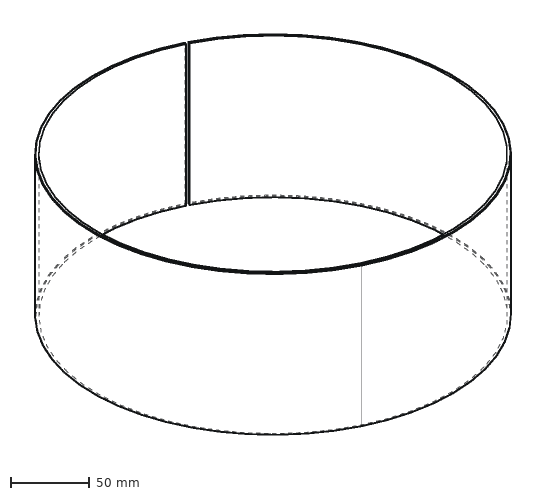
import cadquery as cq

outer_diameter = 305.0
wall = 2.5
height = 120.0
slit_width = 2.5
slit_depth = 3 * wall
rim_chamfer = 0.5

outer_radius = outer_diameter / 2
inner_radius = outer_radius - wall

drum = (
    cq.Workplane("XY")
    .circle(outer_radius)
    .extrude(height)
    .edges("%CIRCLE")
    .chamfer(rim_chamfer)
)

bore = cq.Workplane("XY").circle(inner_radius).extrude(height)

slit = (
    cq.Workplane("XY")
    .box(slit_depth, slit_width, height, centered=(True, False, False))
    .translate((-outer_radius, 0, 0))
)

result = drum.cut(bore).cut(slit)